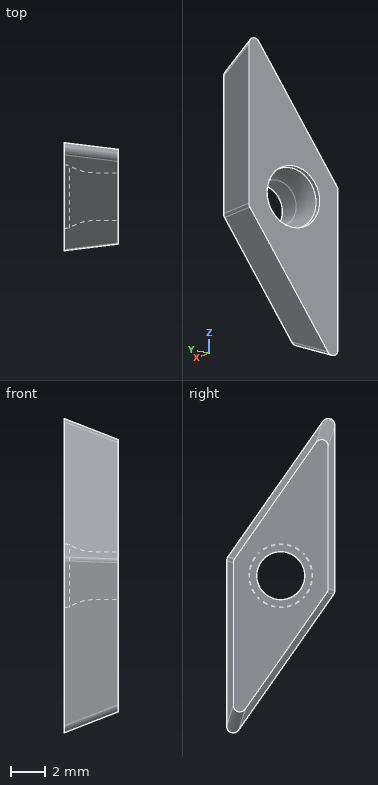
import cadquery as cq
import math

inscribed_diameter = 6.35
thickness = 3.18
acute_angle = math.radians(35)
clearance_angle = 7
corner_radius = 0.4

bore_diameter = 2.8
mouth_diameter = 3.74
mouth_depth = 0.32
flare_diameter = 3.66
flare_depth = 1.75


def insert_body():
    """Drafted rhombus with two sides along Z and its four corners rounded."""
    half_width = inscribed_diameter / 2
    half_slant = half_width / math.tan(acute_angle)
    half_side = half_width / math.sin(acute_angle)
    corners = [
        (half_width, half_side + half_slant),
        (half_width, half_slant - half_side),
        (-half_width, -half_side - half_slant),
        (-half_width, half_side - half_slant),
    ]
    body = (
        cq.Workplane("YZ")
        .polyline(corners)
        .close()
        .extrude(thickness, taper=clearance_angle)
    )
    flank_corners = body.edges("not(#X)")
    return flank_corners.fillet(corner_radius)


def screw_hole():
    """Revolved cutter: conical mouth, then a flare tangent to the bore."""
    bore_radius = bore_diameter / 2
    mouth_radius = mouth_diameter / 2
    flare_start_radius = flare_diameter / 2
    flare_length = flare_depth - mouth_depth
    flare_step = flare_start_radius - bore_radius
    flare_radius = (flare_length**2 + flare_step**2) / (2 * flare_step)
    half_sweep = math.asin(flare_length / flare_radius) / 2
    flare_middle = (
        flare_depth - flare_radius * math.sin(half_sweep),
        bore_radius + flare_radius * (1 - math.cos(half_sweep)),
    )
    return (
        cq.Workplane("XY")
        .lineTo(0, mouth_radius)
        .lineTo(mouth_depth, flare_start_radius)
        .threePointArc(flare_middle, (flare_depth, bore_radius))
        .lineTo(thickness, bore_radius)
        .lineTo(thickness, 0)
        .close()
        .revolve(360, (0, 0, 0), (1, 0, 0))
    )


result = insert_body().cut(screw_hole())